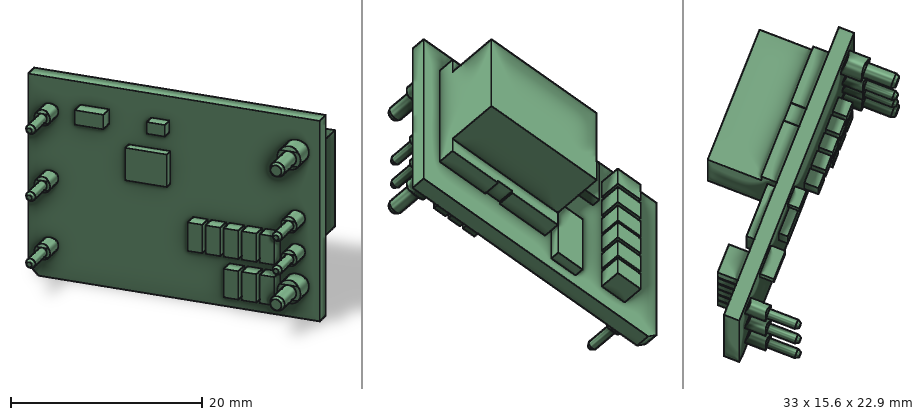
import cadquery as cq


BOARD_WIDTH = 33.02
BOARD_HEIGHT = 22.85
BOARD_THICKNESS = 1.72
CORNER_CHAMFER = 1.2

PIN_SPACING_X = 27.95
PIN_SPACING_Z = 7.63
PIN_LENGTH = 5.85
COLLAR_LENGTH = 2.28
COLLAR_BEVEL_LENGTH = 0.2
TIP_LENGTH = 0.4
SMALL_PIN = {"collar": 1.78, "shaft": 1.05, "tip": 0.6}
LARGE_PIN = {"collar": 2.65, "shaft": 1.65, "tip": 1.25}

CAP_LENGTH = 3.25
CAP_WIDTH = 1.65
CAP_DEPTH = 1.6
CAP_PITCH = 2.05
LAST_CAP_X = 11.23
UPPER_CAP_COUNT = 5
UPPER_CAP_Z = -3.47
LOWER_CAP_COUNT = 3
LOWER_CAP_Z = -8.1
SIDEWAYS_CAP_X = -8.95
SMALL_CAP_X = -1.52
SMALL_CAP_LENGTH = 2.05
SMALL_CAP_WIDTH = 1.32
SMALL_CAP_DEPTH = 1.3
TOP_ROW_Z = 8.02
FRONT_CHIP_X = -2.75
FRONT_CHIP_Z = 3.37
FRONT_CHIP_WIDTH = 4.72
FRONT_CHIP_HEIGHT = 3.7
CHIP_DEPTH = 1.0

TALL_CAP_X = -10.37
TALL_CAP_LENGTH = 3.25
TALL_CAP_WIDTH = 2.48
TALL_CAP_CENTERS_Z = (7.3, 4.3, 1.3, -1.5, -4.45, -7.33)
BACK_CHIP_X = -4.5
BACK_CHIP_SIDE = 6.0
BACK_CHIP_TOP_Z = 9.7
LONG_CHIP_X = -3.3
LONG_CHIP_WIDTH = 3.45
LONG_CHIP_HEIGHT = 8.25
LONG_CHIP_BOTTOM_Z = -9.8
LONG_CHIP_DEPTH = 1.1

CORE_X = 6.77
CORE_Z = 0.65
CORE_WIDTH = 14.93
CORE_HEIGHT = 10.95
CORE_DEPTH = 8.02
FLANGE_REACH = 1.98
FLANGE_DEPTH = 1.98
NOTCH_WIDTH = 2.05
NOTCH_CUT = 0.33


def front_block(x, z, width, depth, height):
    """Box standing on the pin face, centred at (x, z)."""
    return cq.Workplane().box(width, depth, height).translate((x, -depth / 2, z))


def back_block(x, z, width, depth, height):
    """Box standing on the back face, centred at (x, z)."""
    return cq.Workplane().box(width, depth, height).translate((x, BOARD_THICKNESS + depth / 2, z))


def make_board():
    board = cq.Workplane().box(BOARD_WIDTH, BOARD_THICKNESS, BOARD_HEIGHT)
    board = board.edges("|Y and <X and <Z").chamfer(CORNER_CHAMFER)
    return board.translate((0, BOARD_THICKNESS / 2, 0))


def make_collar(collar_radius, shaft_radius):
    """Cylinder whose upper and lower sides slope in to the shaft at both ends."""
    cylinder = cq.Workplane("XZ").circle(collar_radius).extrude(COLLAR_LENGTH)
    bevel_end = COLLAR_LENGTH - COLLAR_BEVEL_LENGTH
    side_profile = (
        cq.Workplane("YZ")
        .moveTo(0, shaft_radius)
        .lineTo(-COLLAR_BEVEL_LENGTH, collar_radius)
        .lineTo(-bevel_end, collar_radius)
        .lineTo(-COLLAR_LENGTH, shaft_radius)
        .lineTo(-COLLAR_LENGTH, -shaft_radius)
        .lineTo(-bevel_end, -collar_radius)
        .lineTo(-COLLAR_BEVEL_LENGTH, -collar_radius)
        .lineTo(0, -shaft_radius)
        .close()
        .extrude(collar_radius, both=True)
    )
    return cylinder.intersect(side_profile)


def make_pin(x, z, diameters):
    collar_radius = diameters["collar"] / 2
    shaft_radius = diameters["shaft"] / 2
    tip_radius = diameters["tip"] / 2
    shaft = (
        cq.Workplane("XY")
        .lineTo(shaft_radius, 0)
        .lineTo(shaft_radius, TIP_LENGTH - PIN_LENGTH)
        .lineTo(tip_radius, -PIN_LENGTH)
        .lineTo(0, -PIN_LENGTH)
        .close()
        .revolve(360, (0, 0, 0), (0, 1, 0))
    )
    return make_collar(collar_radius, shaft_radius).union(shaft).translate((x, 0, z))


def make_pins():
    right_x = PIN_SPACING_X / 2
    left_x = -right_x
    return [
        make_pin(left_x, PIN_SPACING_Z, SMALL_PIN),
        make_pin(left_x, 0, SMALL_PIN),
        make_pin(left_x, -PIN_SPACING_Z, SMALL_PIN),
        make_pin(right_x, PIN_SPACING_Z, LARGE_PIN),
        make_pin(right_x, 0, SMALL_PIN),
        make_pin(right_x, -PIN_SPACING_Z / 2, SMALL_PIN),
        make_pin(right_x, -PIN_SPACING_Z, LARGE_PIN),
    ]


def make_cap_row(count, z):
    """Row of upright capacitors ending at the right-hand capacitor position."""
    return [
        front_block(LAST_CAP_X - i * CAP_PITCH, z, CAP_WIDTH, CAP_DEPTH, CAP_LENGTH)
        for i in range(count)
    ]


def make_front_components():
    return [
        *make_cap_row(UPPER_CAP_COUNT, UPPER_CAP_Z),
        *make_cap_row(LOWER_CAP_COUNT, LOWER_CAP_Z),
        front_block(SIDEWAYS_CAP_X, TOP_ROW_Z, CAP_LENGTH, CAP_DEPTH, CAP_WIDTH),
        front_block(SMALL_CAP_X, TOP_ROW_Z, SMALL_CAP_LENGTH, SMALL_CAP_DEPTH, SMALL_CAP_WIDTH),
        front_block(FRONT_CHIP_X, FRONT_CHIP_Z, FRONT_CHIP_WIDTH, CHIP_DEPTH, FRONT_CHIP_HEIGHT),
    ]


def make_transformer():
    flange_height = CORE_HEIGHT + 2 * FLANGE_REACH
    core = back_block(CORE_X, CORE_Z, CORE_WIDTH, CORE_DEPTH, CORE_HEIGHT)
    notched_height = flange_height - 2 * NOTCH_CUT
    side_width = (CORE_WIDTH - NOTCH_WIDTH) / 2
    side_offset = (CORE_WIDTH - side_width) / 2
    transformer = core.union(back_block(CORE_X, CORE_Z, NOTCH_WIDTH, FLANGE_DEPTH, notched_height))
    for x in (CORE_X - side_offset, CORE_X + side_offset):
        transformer = transformer.union(back_block(x, CORE_Z, side_width, FLANGE_DEPTH, flange_height))
    return transformer


def make_back_components():
    tall_caps = [
        back_block(TALL_CAP_X, z, TALL_CAP_LENGTH, TALL_CAP_WIDTH, TALL_CAP_WIDTH)
        for z in TALL_CAP_CENTERS_Z
    ]
    back_chip_z = BACK_CHIP_TOP_Z - BACK_CHIP_SIDE / 2
    long_chip_z = LONG_CHIP_BOTTOM_Z + LONG_CHIP_HEIGHT / 2
    return [
        *tall_caps,
        back_block(BACK_CHIP_X, back_chip_z, BACK_CHIP_SIDE, CHIP_DEPTH, BACK_CHIP_SIDE),
        back_block(LONG_CHIP_X, long_chip_z, LONG_CHIP_WIDTH, LONG_CHIP_DEPTH, LONG_CHIP_HEIGHT),
        make_transformer(),
    ]


result = make_board()
for component in make_pins() + make_front_components() + make_back_components():
    result = result.union(component)